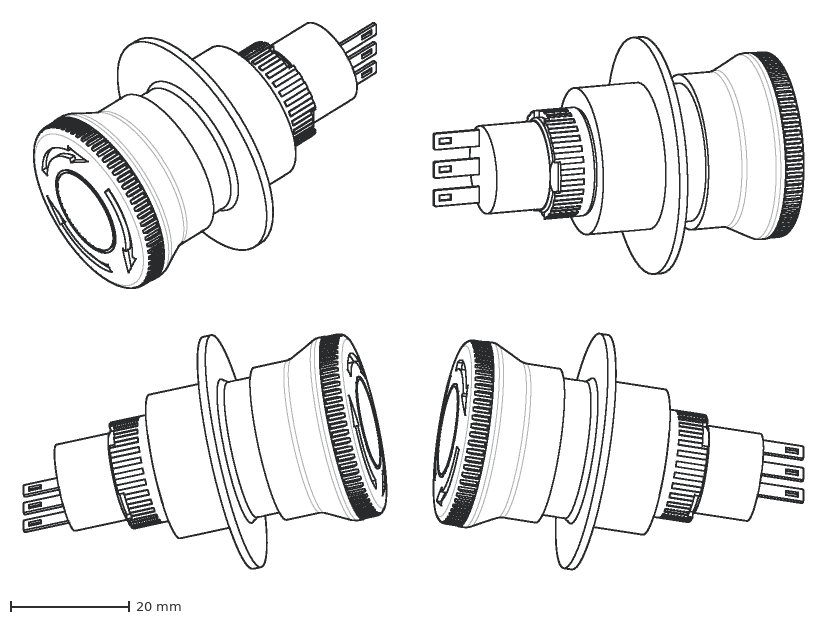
import cadquery as cq
import math


knurl_back = 4.4
band_front = 4.7
cone_front = 6.0
cone_back = 11.25
knob_back = 17.6
neck_back = 22.5
plate_front = 23.55
plate_thickness = 1.4
barrel_back = 36.1
collar_length = 7.4
block_back = 53.45
total_length = 61.5

knob_radius = 15.85
grip_radius = 15.75
waist_radius = 13.2
crown_radius = 99.6
waist_round = 1.85
shoulder_round = 1.7
rim_round = 1.3
grip_groove_count = 68
grip_groove_depth = 0.25
grip_groove_floor = 0.55
grip_groove_mouth = 0.9
ring_groove_inner = 7.5
ring_groove_outer = 8.0
ring_groove_depth = 0.2

arrow_count = 3
arrow_inner = 10.6
arrow_outer = 12.1
arrow_head_inner = 9.85
arrow_head_outer = 12.9
arrow_tip_radius = 12.65
arrow_tail_angle = 62.4
arrow_neck_angle = -5.0
arrow_tip_angle = -30.0
arrow_floor = 1.55

plate_diameter = 40.3

neck_radius = 11.75
barrel_radius = 12.5
block_radius = 7.5
collar_radius = 9.2
collar_bevel_depth = 0.25
collar_bevel_length = 0.5
hub_front_radius = 8.05
hub_back_radius = 7.7
hub_length = 0.5
collar_groove_count = 30
collar_groove_width = 0.9
collar_groove_depth = 0.2
collar_groove_length = 5.05
notch_width = 5.4
notch_length = 0.9
hub_flat_offset = 7.55

terminal_pitch = 5.0
terminal_count = 3
terminal_width = 2.8
terminal_thickness = 0.5
terminal_x = 2.45
terminal_corner = 0.35
eye_length = 2.1
eye_width = 1.0
eye_end_gap = 1.0

plate_back = plate_front + plate_thickness
collar_back = barrel_back + collar_length
hub_back = collar_back + hub_length
notch_front = collar_back - notch_length
grip_edge = crown_radius - math.sqrt(crown_radius**2 - grip_radius**2)
match_tolerance = 0.005


def revolve_about_y(profile):
    """Turn a closed (radius, Y) profile around the Y axis."""
    return profile.close().revolve(360, (0, 0, 0), (0, 1, 0))


def y_prism(sketch, y_start, y_end):
    """Extrude an XZ outline, drawn on a plane facing -Y, from y_start to y_end."""
    return sketch.extrude(y_start - y_end).translate((0, y_start, 0))


def ring(inner, outer, y_start, y_end):
    return y_prism(cq.Workplane("XZ").circle(outer).circle(inner), y_start, y_end)


def cylinder(radius, y_start, y_end):
    return y_prism(cq.Workplane("XZ").circle(radius), y_start, y_end)


def around_axis(cutter, count, start_angle=0.0):
    """Copies of a cutter spaced evenly around the Y axis, as one compound."""
    solid = cutter.val()
    axis_start = cq.Vector(0, 0, 0)
    axis_end = cq.Vector(0, 1, 0)
    return cq.Compound.makeCompound(
        [solid.rotate(axis_start, axis_end, start_angle + i * 360 / count) for i in range(count)]
    )


def polar(radius, angle):
    """Point in the XZ plane at an angle measured from +X toward +Z."""
    turn = math.radians(angle)
    return (radius * math.cos(turn), radius * math.sin(turn))


def round_edge(body, y, radius, size):
    """Fillet the circular edge of a given radius at station y."""
    edge = body.edges("%CIRCLE").filter(
        lambda e: abs(e.Center().y - y) < match_tolerance and abs(e.radius() - radius) < match_tolerance
    )
    return edge.fillet(size)


def knob_blank():
    half_edge = grip_radius / 2
    crown_mid = crown_radius - math.sqrt(crown_radius**2 - half_edge**2)
    body = revolve_about_y(
        cq.Workplane("XY")
        .moveTo(0, 0)
        .threePointArc((half_edge, crown_mid), (grip_radius, grip_edge))
        .lineTo(grip_radius, band_front)
        .lineTo(knob_radius, band_front)
        .lineTo(knob_radius, cone_front)
        .lineTo(waist_radius, cone_back)
        .lineTo(waist_radius, knob_back)
        .lineTo(0, knob_back)
    )
    body = round_edge(body, cone_back, waist_radius, waist_round)
    body = round_edge(body, cone_front, knob_radius, shoulder_round)
    return round_edge(body, grip_edge, grip_radius, rim_round)


def grip_grooves():
    floor = grip_radius - grip_groove_depth
    outside = grip_radius + grip_groove_depth
    half_floor = grip_groove_floor / 2
    half_mouth = grip_groove_mouth - half_floor
    groove = y_prism(
        cq.Workplane("XZ").polyline(
            [(floor, -half_floor), (outside, -half_mouth), (outside, half_mouth), (floor, half_floor)]
        ).close(),
        0,
        knurl_back,
    )
    quarter_pitch = 90 / grip_groove_count
    return around_axis(groove, grip_groove_count, quarter_pitch)


def face_ring_groove():
    middle = (ring_groove_inner + ring_groove_outer) / 2
    floor = crown_radius - math.sqrt(crown_radius**2 - middle**2) + ring_groove_depth
    return ring(ring_groove_inner, ring_groove_outer, 0, floor)


def face_arrows():
    middle_angle = (arrow_tail_angle + arrow_neck_angle) / 2
    arrow = y_prism(
        cq.Workplane("XZ")
        .moveTo(*polar(arrow_outer, arrow_tail_angle))
        .threePointArc(polar(arrow_outer, middle_angle), polar(arrow_outer, arrow_neck_angle))
        .lineTo(*polar(arrow_head_outer, arrow_neck_angle))
        .lineTo(*polar(arrow_tip_radius, arrow_tip_angle))
        .lineTo(*polar(arrow_head_inner, arrow_neck_angle))
        .lineTo(*polar(arrow_inner, arrow_neck_angle))
        .threePointArc(polar(arrow_inner, middle_angle), polar(arrow_inner, arrow_tail_angle))
        .close(),
        0,
        arrow_floor,
    )
    return around_axis(arrow, arrow_count)


def make_knob():
    return knob_blank().cut(grip_grooves()).cut(face_ring_groove()).cut(face_arrows())


def make_plate():
    return ring(barrel_radius, plate_diameter / 2, plate_front, plate_back)


def housing_blank():
    return revolve_about_y(
        cq.Workplane("XY")
        .moveTo(0, knob_back)
        .lineTo(neck_radius, knob_back)
        .lineTo(neck_radius, neck_back)
        .lineTo(barrel_radius, plate_front)
        .lineTo(barrel_radius, barrel_back)
        .lineTo(collar_radius - collar_bevel_depth, barrel_back)
        .lineTo(collar_radius, barrel_back + collar_bevel_length)
        .lineTo(collar_radius, collar_back)
        .lineTo(hub_front_radius, collar_back)
        .lineTo(hub_back_radius, hub_back)
        .lineTo(block_radius, hub_back)
        .lineTo(block_radius, block_back)
        .lineTo(0, block_back)
    )


def collar_grooves():
    groove = cq.Workplane("XY").box(
        2 * collar_groove_depth, collar_groove_length, collar_groove_width
    ).translate((collar_radius, collar_back - collar_groove_length / 2, 0))
    half_pitch = 180 / collar_groove_count
    return around_axis(groove, collar_groove_count, half_pitch)


def collar_notches():
    """Four notches through the collar wall, open to the back, down to the hub."""
    bar_length = 2 * collar_radius + notch_width
    cross = cq.Workplane("XZ").rect(bar_length, notch_width).extrude(-notch_length)
    cross = cross.union(cq.Workplane("XZ").rect(notch_width, bar_length).extrude(-notch_length))
    cross = cross.translate((0, notch_front, 0))
    return cross.cut(cylinder(hub_front_radius, notch_front, collar_back))


def hub_flats():
    """Material outside the two flats that the hub carries on its X sides."""
    depth = collar_radius - hub_flat_offset
    flat = cq.Workplane("XY").box(depth, hub_back - notch_front, notch_width).translate(
        (hub_flat_offset + depth / 2, (hub_back + notch_front) / 2, 0)
    )
    return around_axis(flat, 2)


def make_housing():
    return housing_blank().cut(collar_grooves()).cut(collar_notches()).cut(hub_flats())


def make_terminal(z):
    length = total_length - block_back
    eye_y = total_length - eye_end_gap - eye_length / 2
    blade = cq.Workplane("XY").box(terminal_thickness, length, terminal_width)
    blade = blade.edges("|X and >Y").fillet(terminal_corner)
    blade = blade.translate((terminal_x, block_back + length / 2, z))
    eye = cq.Workplane("XY").box(2 * terminal_thickness, eye_length, eye_width)
    return blade.cut(eye.translate((terminal_x, eye_y, z)))


knob = make_knob()
plate = make_plate()
housing = make_housing()
terminals = [
    make_terminal((i - (terminal_count - 1) / 2) * terminal_pitch) for i in range(terminal_count)
]

result = cq.Compound.makeCompound(
    [knob.val(), plate.val(), housing.val(), *[terminal.val() for terminal in terminals]]
)